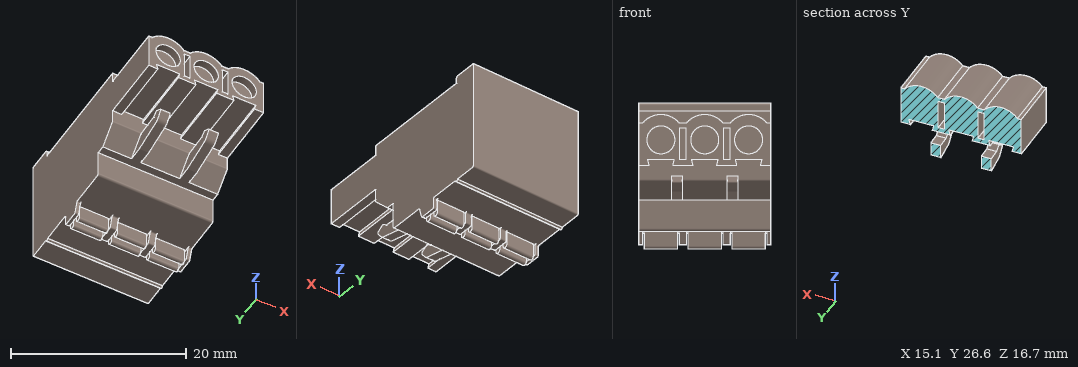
import cadquery as cq


width = 15.1
length = 26.6
height = 16.7
pole_count = 3
pitch = 5.0
pole_centers = [(i - (pole_count - 1) / 2) * pitch for i in range(pole_count)]
wall_centers = [(i - pole_count / 2) * pitch for i in range(pole_count + 1)]

roof_z = 15.77
floor_z = 2.02
rim_length = 3.22
root_y = 8.3
foot_front_y = 11.6
foot_top_z = 5.65
slope_bottom_y = 10.53
slope_top_z = 7.82
edge_radius = 0.32
rear_edge_radius = 0.2

nose_bottom_z = 9.58
nose_shoulder_z = 14.42
nose_crown_z = 15.37
crown_width = 4.15
bore_z = 12.48
bore_radius = 1.6
bore_depth = 1.06
slot_width = 0.72
slot_top_z = 13.83
notch_top_z = 10.25
notch_top_width = 3.03
notch_bottom_width = 2.7

hook_width = 1.25
hook_spacing = 6.33
hook_root_z = 7.77
hook_heel_y = 8.78
hook_neck = (5.43, 7.9)
hook_peak = (4.85, 8.38)
hook_nose = (3.72, 7.71)
hook_chin = (4.63, 6.6)
hook_tip_radius = 0.2
hook_chin_radius = 0.93

peg_width = 0.85
peg_bottom_z = 0.5
peg_back_y = 19.13
peg_front_top_y = 16.47
peg_front_bottom_y = 16.95
peg_edge_radius = 0.19
peg_flange = 0.53
leg_width = 3.83
leg_thickness = 0.7
leg_centers_y = (17.37, 18.7)

ridge_y = 23.4
ridge_radius = 0.2

overlap = 0.27


def extrude_along_x(profile, x_center, x_width):
    """Extrude a Y-Z profile symmetrically about x_center."""
    return profile.extrude(x_width / 2, both=True).translate((x_center, 0, 0))


def edges_at(solid, points_yz):
    """Select the edges parallel to X that pass through the given (y, z) points."""
    tolerance = 0.013
    selected = solid.newObject([])
    for y, z in points_yz:
        low = (-width, y - tolerance, z - tolerance)
        high = (width, y + tolerance, z + tolerance)
        selected = selected.add(solid.edges(cq.selectors.BoxSelector(low, high)))
    return selected


def make_housing():
    rim_front = (length - rim_length, height)
    slope_top = (root_y, slope_top_z)
    foot_front = (foot_front_y, floor_z)
    rear_bottom = (length, floor_z)
    profile = cq.Workplane("YZ").polyline([
        (length, height),
        rim_front,
        (length - rim_length, roof_z),
        (root_y, roof_z),
        slope_top,
        (slope_bottom_y, foot_top_z),
        (foot_front_y, foot_top_z),
        foot_front,
        rear_bottom,
    ]).close()
    housing = extrude_along_x(profile, 0, width)
    housing = edges_at(housing, [rim_front, slope_top, foot_front]).fillet(edge_radius)
    return edges_at(housing, [rear_bottom]).fillet(rear_edge_radius)


def make_nose():
    nose_depth = root_y + overlap
    outline = cq.Workplane("XZ").moveTo(-width / 2, nose_bottom_z)
    outline = outline.lineTo(-width / 2, nose_shoulder_z)
    for x in pole_centers:
        outline = outline.lineTo(x - crown_width / 2, nose_shoulder_z)
        outline = outline.threePointArc((x, nose_crown_z), (x + crown_width / 2, nose_shoulder_z))
    outline = outline.lineTo(width / 2, nose_shoulder_z).lineTo(width / 2, nose_bottom_z).close()
    return outline.extrude(-nose_depth)


def make_nose_cutouts():
    bores = (
        cq.Workplane("XZ")
        .pushPoints([(x, bore_z) for x in pole_centers])
        .circle(bore_radius)
        .extrude(-bore_depth)
    )
    slot_middle_z = (slot_top_z + notch_top_z) / 2
    slots = (
        cq.Workplane("XZ")
        .pushPoints([(x, slot_middle_z) for x in wall_centers[1:-1]])
        .rect(slot_width, slot_top_z - notch_top_z)
        .extrude(-root_y)
    )
    cutouts = bores.union(slots)
    for x in pole_centers:
        notch = cq.Workplane("XZ").polyline([
            (x - notch_top_width / 2, notch_top_z),
            (x + notch_top_width / 2, notch_top_z),
            (x + notch_bottom_width / 2, nose_bottom_z),
            (x - notch_bottom_width / 2, nose_bottom_z),
        ]).close()
        cutouts = cutouts.union(notch.extrude(-root_y))
    return cutouts


def make_hook(x):
    profile = cq.Workplane("YZ").polyline([
        (slope_bottom_y, hook_root_z),
        (root_y, hook_root_z),
        hook_neck,
        hook_peak,
        hook_nose,
        hook_chin,
        (hook_heel_y, foot_top_z),
        (slope_bottom_y, foot_top_z),
    ]).close()
    hook = extrude_along_x(profile, x, hook_width)
    hook = edges_at(hook, [hook_chin]).fillet(hook_chin_radius)
    return edges_at(hook, [hook_peak, hook_nose]).fillet(hook_tip_radius)


def make_peg(x):
    front_bottom = (peg_front_bottom_y, peg_bottom_z)
    back_bottom = (peg_back_y, peg_bottom_z)
    front_root = (peg_front_top_y, floor_z)
    back_root = (peg_back_y, floor_z)
    profile = cq.Workplane("YZ").polyline([
        (peg_front_top_y - peg_flange, floor_z + overlap),
        (peg_front_top_y - peg_flange, floor_z),
        front_root,
        front_bottom,
        back_bottom,
        back_root,
        (peg_back_y + peg_flange, floor_z),
        (peg_back_y + peg_flange, floor_z + overlap),
    ]).close()
    peg = extrude_along_x(profile, x, peg_width)
    return edges_at(peg, [front_root, front_bottom, back_bottom, back_root]).fillet(peg_edge_radius)


def make_leg(x, y):
    radius = leg_thickness / 2
    profile = (
        cq.Workplane("YZ")
        .moveTo(y - radius, floor_z + overlap)
        .lineTo(y - radius, radius)
        .threePointArc((y, 0), (y + radius, radius))
        .lineTo(y + radius, floor_z + overlap)
        .close()
    )
    return extrude_along_x(profile, x, leg_width)


def make_ridge():
    profile = cq.Workplane("YZ").center(ridge_y, floor_z).circle(ridge_radius)
    return extrude_along_x(profile, 0, width)


side_limits = cq.Workplane("XY").box(width, length, height, centered=(True, False, False))

result = make_housing()
for wall_x in wall_centers:
    result = result.union(make_peg(wall_x).intersect(side_limits))
result = result.union(make_nose()).cut(make_nose_cutouts())
for hook_x in (-hook_spacing / 2, hook_spacing / 2):
    result = result.union(make_hook(hook_x))
for pole_x in pole_centers:
    for leg_y in leg_centers_y:
        result = result.union(make_leg(pole_x, leg_y))
result = result.union(make_ridge())